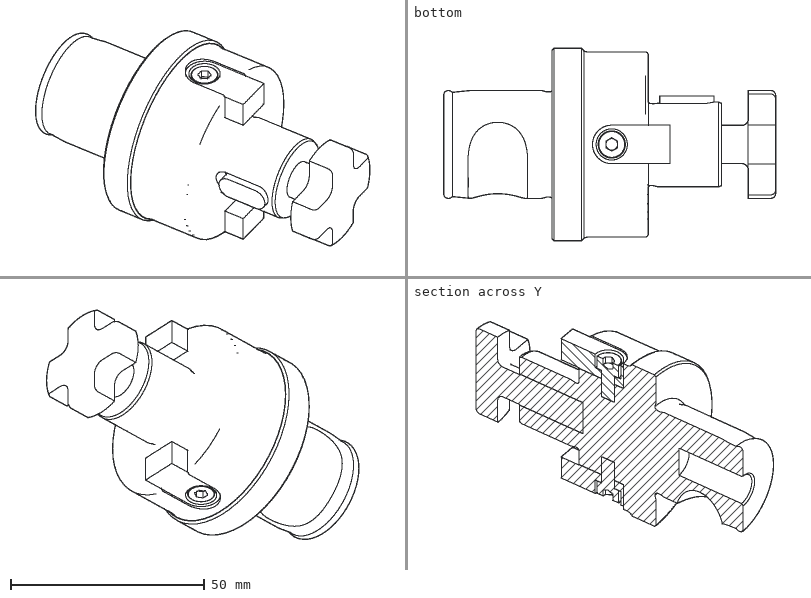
import cadquery as cq
import math

total_length = 86.0

diagonal = math.sqrt(0.5)

shank_radius = 14.0
shank_face_radius = 12.8
nose_radius = 1.2
nose_end_x = 1.7
nose_groove_x = 2.2
nose_groove_width = 0.5
nose_groove_radius = 13.6
pilot_taper_end_x = 7.05
shank_full_end_x = 25.4
shank_relief_start_x = 26.7
shank_relief_radius = 13.7
shank_hole_radius = 4.4
shank_hole_chamfer = 0.5
shank_hole_depth = 20.6

notch_x = 14.0
notch_radius = 7.7
notch_floor_distance = 5.0
notch_angle = -45.0

flange_x = 28.0
flange_diameter = 50.0
flange_radius = flange_diameter / 2
flange_end_x = 36.3
flange_front_chamfer = 0.5
flange_rear_chamfer = 0.6
flange_recess_radius = 15.7
flange_recess_depth = 0.35
flange_recess_fillet = 0.95
carrier_radius = 24.0
carrier_step_radius = 24.25
carrier_step_end_x = 37.3
carrier_end_x = 53.0
carrier_edge_radius = 0.8

spigot_radius = 11.0
spigot_end_x = 72.0
spigot_chamfer = 0.8
spigot_chamfer_depth = 0.35
undercut_radius = 10.7
undercut_fillet = 0.5
undercut_end_x = 54.1
undercut_ramp_end_x = 55.5

key_width = 10.0
key_arc_center_x = 43.5
key_end_x = 58.6
key_bottom_z = 15.9
key_top_z = 23.0
key_turns = (0, 180)

cap_head_radius = 3.5
cap_head_height = 4.0
cap_head_chamfer = 0.2
cap_head_below_key_top = 0.35
cap_shank_radius = 2.0
cap_shank_length = 8.6
cap_counterbore_radius = 4.0
cap_socket_across_flats = 3.0
cap_socket_depth = 2.0
cap_socket_cone_depth = 0.7
cap_head_top_z = key_top_z - cap_head_below_key_top
cap_seat_z = cap_head_top_z - cap_head_height
cap_tip_z = cap_seat_z - cap_shank_length

feather_width = 6.0
feather_start_x = 55.9
feather_end_x = 70.0
feather_slot_start_x = 53.8
feather_outer_y = 12.55
feather_inner_y = 6.5

clamp_shank_radius = 5.0
clamp_shank_start_x = 51.6
clamp_head_radius = 14.0
clamp_head_x = 78.9
clamp_neck_fillet = 1.6
clamp_head_edge_radius = 1.4
clamp_arm_width = 10.1
clamp_arm_inner_radius = 2.9


def x_cylinder(radius, start_x, end_x):
    """Cylinder on the arbor axis."""
    return cq.Workplane("YZ").workplane(offset=start_x).circle(radius).extrude(end_x - start_x)


def z_cylinder(radius, bottom_z, top_z):
    """Upright cylinder on the axis of the drive key screw at +Z."""
    center = cq.Workplane("XY").workplane(offset=bottom_z).center(key_arc_center_x, 0)
    return center.circle(radius).extrude(top_z - bottom_z)


def turned(solid, turn):
    """Copy of a solid turned about the arbor axis by an angle in degrees."""
    return solid.rotate((0, 0, 0), (1, 0, 0), turn)


def drive_key_blank(top_z):
    """Bar with one rounded end and one square end, resting on the key seat."""
    half_width = key_width / 2
    return (
        cq.Workplane("XY").workplane(offset=key_bottom_z)
        .moveTo(key_end_x, -half_width)
        .lineTo(key_end_x, half_width)
        .lineTo(key_arc_center_x, half_width)
        .threePointArc((key_arc_center_x - half_width, 0), (key_arc_center_x, -half_width))
        .close()
        .extrude(top_z - key_bottom_z)
    )


def feather_blank(start_x, end_x):
    """Round-ended bar on the -Y side of the spigot."""
    return (
        cq.Workplane("XZ").workplane(offset=feather_inner_y)
        .center((start_x + end_x) / 2, 0)
        .slot2D(end_x - start_x, feather_width)
        .extrude(feather_outer_y - feather_inner_y)
    )


def make_arbor():
    """Shank, flange, carrier and spigot, with the seats for all other bodies."""
    nose_top_r = shank_face_radius + nose_radius
    nose_end_r = shank_face_radius + math.sqrt(nose_radius**2 - (nose_end_x - nose_radius) ** 2)
    recess_floor_x = flange_x + flange_recess_depth
    recess_fillet_r = shank_relief_radius + flange_recess_fillet
    undercut_corner_r = undercut_radius + undercut_fillet
    undercut_corner_x = carrier_end_x + undercut_fillet
    arbor = (
        cq.Workplane("XY")
        .lineTo(0, shank_face_radius)
        .threePointArc((nose_radius, nose_top_r), (nose_end_x, nose_end_r))
        .lineTo(nose_groove_x, nose_groove_radius)
        .lineTo(nose_groove_x + nose_groove_width, nose_groove_radius)
        .lineTo(pilot_taper_end_x, shank_radius)
        .lineTo(shank_full_end_x, shank_radius)
        .lineTo(shank_relief_start_x, shank_relief_radius)
        .lineTo(recess_floor_x - flange_recess_fillet, shank_relief_radius)
        .threePointArc(
            (
                recess_floor_x - flange_recess_fillet * (1 - diagonal),
                recess_fillet_r - flange_recess_fillet * diagonal,
            ),
            (recess_floor_x, recess_fillet_r),
        )
        .lineTo(flange_x, flange_recess_radius)
        .lineTo(flange_x, flange_radius - flange_front_chamfer)
        .lineTo(flange_x + flange_front_chamfer, flange_radius)
        .lineTo(flange_end_x - flange_rear_chamfer, flange_radius)
        .lineTo(flange_end_x, flange_radius - flange_rear_chamfer)
        .lineTo(flange_end_x, carrier_step_radius)
        .lineTo(carrier_step_end_x, carrier_radius)
        .lineTo(carrier_end_x - carrier_edge_radius, carrier_radius)
        .threePointArc(
            (
                carrier_end_x - carrier_edge_radius * (1 - diagonal),
                carrier_radius - carrier_edge_radius * (1 - diagonal),
            ),
            (carrier_end_x, carrier_radius - carrier_edge_radius),
        )
        .lineTo(carrier_end_x, undercut_corner_r)
        .threePointArc(
            (
                undercut_corner_x - undercut_fillet * diagonal,
                undercut_corner_r - undercut_fillet * diagonal,
            ),
            (undercut_corner_x, undercut_radius),
        )
        .lineTo(undercut_end_x, undercut_radius)
        .lineTo(undercut_ramp_end_x, spigot_radius)
        .lineTo(spigot_end_x - spigot_chamfer, spigot_radius)
        .lineTo(spigot_end_x, spigot_radius - spigot_chamfer_depth)
        .lineTo(spigot_end_x, 0)
        .close()
        .revolve(360, (0, 0, 0), (1, 0, 0))
    )

    arbor = arbor.cut(x_cylinder(shank_hole_radius, 0, shank_hole_depth))
    hole_rim = cq.selectors.RadiusNthSelector(0)
    arbor = arbor.faces("<X").edges(hole_rim).chamfer(shank_hole_chamfer)

    notch_cutter = (
        cq.Workplane("XY")
        .center(notch_x, notch_floor_distance + notch_radius)
        .circle(notch_radius)
        .extrude(shank_radius, both=True)
    )
    arbor = arbor.cut(turned(notch_cutter, notch_angle))

    key_seat = drive_key_blank(carrier_radius)
    key_seat = key_seat.union(z_cylinder(cap_shank_radius, cap_tip_z, key_top_z))
    for turn in key_turns:
        arbor = arbor.cut(turned(key_seat, turn))

    arbor = arbor.cut(feather_blank(feather_slot_start_x, feather_end_x))

    return arbor.cut(x_cylinder(clamp_shank_radius, clamp_shank_start_x, spigot_end_x))


def make_drive_key(turn):
    """Drive key with a counterbored screw hole."""
    key = drive_key_blank(key_top_z)
    key = key.cut(z_cylinder(cap_counterbore_radius, cap_seat_z, key_top_z))
    key = key.cut(z_cylinder(cap_shank_radius, key_bottom_z, key_top_z))
    return turned(key, turn)


def make_cap_screw(turn):
    """Cap screw with a hexagon socket that ends in a cone."""
    head = z_cylinder(cap_head_radius, cap_seat_z, cap_head_top_z).faces(">Z").chamfer(cap_head_chamfer)
    screw = head.union(z_cylinder(cap_shank_radius, cap_tip_z, cap_seat_z))
    across_corners = cap_socket_across_flats / math.cos(math.pi / 6)
    socket_floor_z = cap_head_top_z - cap_socket_depth
    socket = (
        cq.Workplane("XY").workplane(offset=socket_floor_z)
        .center(key_arc_center_x, 0)
        .transformed(rotate=(0, 0, 90))
        .polygon(6, across_corners)
        .extrude(cap_socket_depth)
    )
    cone = cq.Workplane(
        cq.Solid.makeCone(
            cap_socket_across_flats / 2, 0, cap_socket_cone_depth,
            cq.Vector(key_arc_center_x, 0, socket_floor_z), cq.Vector(0, 0, -1),
        )
    )
    return turned(screw.cut(socket).cut(cone), turn)


def make_feather_key():
    """Round-ended key that sits at the free end of its slot."""
    return feather_blank(feather_start_x, feather_end_x)


def make_clamping_screw():
    """Screw with a four-armed head and a rounded neck."""
    shank = x_cylinder(clamp_shank_radius, clamp_shank_start_x, clamp_head_x)
    head = x_cylinder(clamp_head_radius, clamp_head_x, total_length)
    head = head.faces(">X").edges().fillet(clamp_head_edge_radius)

    gap_center = clamp_arm_width / 2 + clamp_head_radius / 2
    gap = (
        cq.Workplane("YZ").workplane(offset=clamp_head_x)
        .rect(clamp_head_radius, clamp_head_radius)
        .extrude(total_length - clamp_head_x)
        .edges("|X").fillet(clamp_arm_inner_radius)
    )
    for side_y in (-1, 1):
        for side_z in (-1, 1):
            head = head.cut(gap.translate((0, side_y * gap_center, side_z * gap_center)))

    neck_x = clamp_head_x - clamp_neck_fillet
    neck_r = clamp_shank_radius + clamp_neck_fillet
    arc_offset = clamp_neck_fillet * diagonal
    neck = (
        cq.Workplane("XY")
        .moveTo(neck_x, 0)
        .lineTo(neck_x, clamp_shank_radius)
        .threePointArc((neck_x + arc_offset, neck_r - arc_offset), (clamp_head_x, neck_r))
        .lineTo(clamp_head_x, 0)
        .close()
        .revolve(360, (0, 0, 0), (1, 0, 0))
    )
    return head.union(shank).union(neck)


arbor = make_arbor()
drive_keys = [make_drive_key(turn) for turn in key_turns]
cap_screws = [make_cap_screw(turn) for turn in key_turns]
feather_key = make_feather_key()
clamping_screw = make_clamping_screw()

result = cq.Compound.makeCompound([
    arbor.val(),
    *[key.val() for key in drive_keys],
    *[screw.val() for screw in cap_screws],
    feather_key.val(),
    clamping_screw.val(),
])